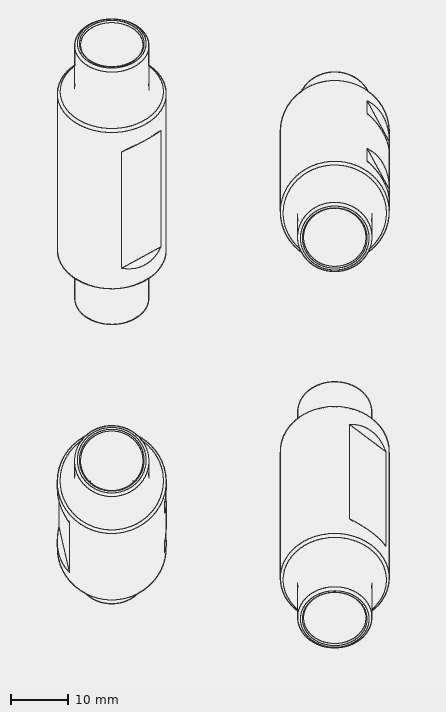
import cadquery as cq
import math

TOTAL_LENGTH = 64.0
BODY_LENGTH = 40.0
BODY_DIAMETER = 19.05
BODY_CHAMFER = 0.5

SPIGOT_DIAMETER = 13.0
SPIGOT_CHAMFER = 0.5
SPIGOT_ROOT_FILLET = 0.8
THREAD_LENGTH = 8.5

BORE_DIAMETER = 7.5
MOUTH_DIAMETER = 11.3
MOUTH_CHAMFER_DEPTH = 0.35
SEAT_DIAMETER = 10.9
SEAT_CONE_ANGLE = 16.0

FLAT_DISTANCE = 8.5
FLAT_LENGTH = 6.0
FLAT_CENTRE_HEIGHT = 11.5

HALF_LENGTH = TOTAL_LENGTH / 2
HALF_BODY = BODY_LENGTH / 2
BODY_RADIUS = BODY_DIAMETER / 2
SPIGOT_RADIUS = SPIGOT_DIAMETER / 2
BORE_RADIUS = BORE_DIAMETER / 2
MOUTH_RADIUS = MOUTH_DIAMETER / 2
SEAT_RADIUS = SEAT_DIAMETER / 2
SEAT_DEPTH = (SEAT_RADIUS - BORE_RADIUS) / math.tan(math.radians(SEAT_CONE_ANGLE / 2))


def make_turned_body():
    """Revolve the half section, bore and seats included."""
    thread_end = HALF_LENGTH - THREAD_LENGTH
    spigot_edge = HALF_LENGTH - SPIGOT_CHAMFER
    end_face_radius = SPIGOT_RADIUS - SPIGOT_CHAMFER
    body_edge = HALF_BODY - BODY_CHAMFER
    body_face_radius = BODY_RADIUS - BODY_CHAMFER
    fillet_radius = SPIGOT_RADIUS + SPIGOT_ROOT_FILLET
    fillet_end = HALF_BODY + SPIGOT_ROOT_FILLET
    fillet_sag = SPIGOT_ROOT_FILLET * (1 - math.sqrt(0.5))
    fillet_middle_radius = SPIGOT_RADIUS + fillet_sag
    fillet_middle = HALF_BODY + fillet_sag
    seat_start = HALF_LENGTH - MOUTH_CHAMFER_DEPTH
    seat_end = seat_start - SEAT_DEPTH
    section = (
        cq.Workplane("XZ")
        .moveTo(BORE_RADIUS, -seat_end)
        .lineTo(SEAT_RADIUS, -seat_start)
        .lineTo(MOUTH_RADIUS, -HALF_LENGTH)
        .lineTo(end_face_radius, -HALF_LENGTH)
        .lineTo(SPIGOT_RADIUS, -spigot_edge)
        .lineTo(SPIGOT_RADIUS, -thread_end)
        .lineTo(SPIGOT_RADIUS, -fillet_end)
        .threePointArc((fillet_middle_radius, -fillet_middle), (fillet_radius, -HALF_BODY))
        .lineTo(body_face_radius, -HALF_BODY)
        .lineTo(BODY_RADIUS, -body_edge)
        .lineTo(BODY_RADIUS, body_edge)
        .lineTo(body_face_radius, HALF_BODY)
        .lineTo(fillet_radius, HALF_BODY)
        .threePointArc((fillet_middle_radius, fillet_middle), (SPIGOT_RADIUS, fillet_end))
        .lineTo(SPIGOT_RADIUS, thread_end)
        .lineTo(SPIGOT_RADIUS, spigot_edge)
        .lineTo(end_face_radius, HALF_LENGTH)
        .lineTo(MOUTH_RADIUS, HALF_LENGTH)
        .lineTo(SEAT_RADIUS, seat_start)
        .lineTo(BORE_RADIUS, seat_end)
        .close()
    )
    return section.revolve(360, (0, 0, 0), (0, 1, 0), clean=False)


def make_flat_cutter(side, bottom, top):
    """Cutter for a flat from bottom to top on the side (+1 or -1) of X, with 45 degree ends."""
    flare = BODY_RADIUS - FLAT_DISTANCE
    return (
        cq.Workplane("XZ")
        .moveTo(side * FLAT_DISTANCE, bottom)
        .lineTo(side * BODY_RADIUS, bottom - flare)
        .lineTo(side * BODY_RADIUS, top + flare)
        .lineTo(side * FLAT_DISTANCE, top)
        .close()
        .extrude(BODY_RADIUS, both=True)
    )


result = make_turned_body()

for centre in (FLAT_CENTRE_HEIGHT, -FLAT_CENTRE_HEIGHT):
    short_flat = make_flat_cutter(-1, centre - FLAT_LENGTH / 2, centre + FLAT_LENGTH / 2)
    result = result.cut(short_flat, clean=False)

long_flat_end = FLAT_CENTRE_HEIGHT + FLAT_LENGTH / 2
long_flat = make_flat_cutter(1, -long_flat_end, long_flat_end)
result = result.cut(long_flat, clean=False)